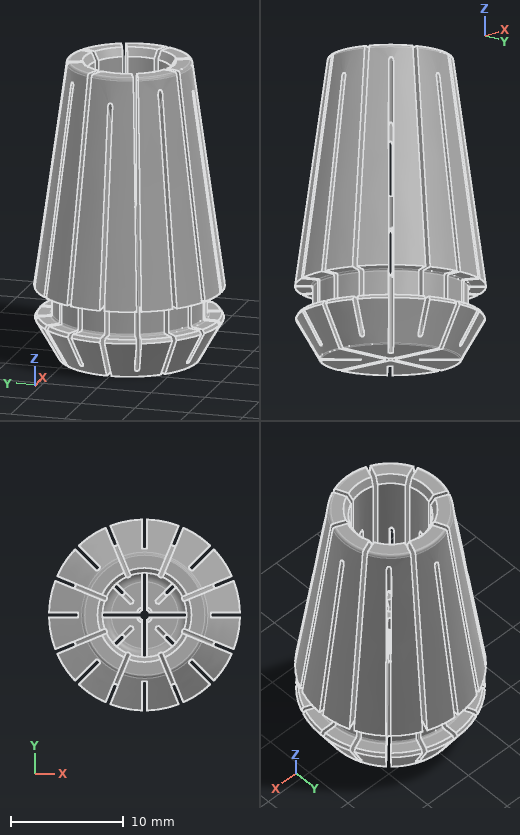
import cadquery as cq
import math

length = 27.5
taper_radius = 8.5
taper_angle = 8.0
taper_bottom = 6.68
top_fillet = 0.28
groove_radius = 6.93
groove_fillet = 0.16
flange_top = 4.05
flange_top_radius = 8.2
flange_radius = 8.42
flange_edge_height = 3.7
nose_angle = 30.0
nose_edge_fillet = 0.15

bore_radius = 3.75
bore_mouth_radius = 4.18
bore_floor = 14.58
bore_fillet = 0.77
hole_radius = 0.5
hole_mouth_radius = 0.72
bore_mouth_angle = 30.0
hole_mouth_angle = 15.0

slot_width = 0.45
straight_slot_count = 4
diagonal_slot_count = 4
upper_slot_count = 8
diagonal_slot_first_angle = 180 / straight_slot_count
upper_slot_first_angle = 180 / upper_slot_count

straight_slot_top = (15.0, 60.0)
diagonal_slot_top = (10.5, 70.0)
diagonal_slot_bottom = (9.35, -74.5)
upper_slot_bottom = (31.98, -78.0)


def tan_deg(angle):
    return math.tan(math.radians(angle))


def make_body():
    """Solid of revolution with its edges rounded."""
    top_radius = taper_radius - (length - taper_bottom) * tan_deg(taper_angle)
    nose_radius = flange_radius - flange_edge_height * tan_deg(nose_angle)
    outline = [
        (0, 0),
        (nose_radius, 0),
        (flange_radius, flange_edge_height),
        (flange_top_radius, flange_top),
        (groove_radius, flange_top),
        (groove_radius, taper_bottom),
        (taper_radius, taper_bottom),
        (top_radius, length),
        (0, length),
    ]
    body = cq.Workplane("XZ").polyline(outline).close().revolve(360, (0, 0), (0, 1))
    groove_rank = 2
    body = body.edges(cq.selectors.RadiusNthSelector(groove_rank)).fillet(groove_fillet)
    body = body.faces(">Z").edges().fillet(top_fillet)
    return body.faces("<Z").edges().fillet(nose_edge_fillet)


def make_bore():
    """Bore and hole with countersunk mouths and a rounded floor corner."""
    bore_mouth_depth = (bore_mouth_radius - bore_radius) / tan_deg(bore_mouth_angle)
    hole_mouth_depth = (hole_mouth_radius - hole_radius) / tan_deg(hole_mouth_angle)
    profile = (
        cq.Workplane("XZ")
        .lineTo(hole_radius, 0)
        .lineTo(hole_radius, bore_floor - hole_mouth_depth)
        .lineTo(hole_mouth_radius, bore_floor)
        .lineTo(bore_radius - bore_fillet, bore_floor)
        .radiusArc((bore_radius, bore_floor + bore_fillet), -bore_fillet)
        .lineTo(bore_radius, length - bore_mouth_depth)
        .lineTo(bore_mouth_radius, length)
        .lineTo(0, length)
        .close()
    )
    return profile.revolve(360, (0, 0), (0, 1))


def make_kerf(axis_height, slope, side):
    """Radial saw kerf toward +X whose round end follows a sloping line.

    The kerf lies above the line for side = 1 and below it for side = -1.
    """
    angle = math.radians(slope)
    along = cq.Vector(math.cos(angle), 0, math.sin(angle))
    depth_direction = cq.Vector(-math.sin(angle), 0, math.cos(angle)) * side
    overshoot = 3 * length
    section = cq.Plane(origin=(0, 0, axis_height), xDir=depth_direction, normal=along)
    half_width = slot_width / 2
    kerf = (
        cq.Workplane(section)
        .moveTo(half_width, -half_width)
        .threePointArc((0, 0), (half_width, half_width))
        .lineTo(overshoot, half_width)
        .lineTo(overshoot, -half_width)
        .close()
        .extrude(overshoot, both=True)
    )
    outer_half = cq.Workplane("XY").box(
        length, length, overshoot, centered=(False, True, True)
    )
    return kerf.intersect(outer_half)


def cut_slots(body, slot, count, first_angle):
    """Cut equally spaced copies of a slot around the axis."""
    for i in range(count):
        body = body.cut(slot.rotate((0, 0, 0), (0, 0, 1), first_angle + i * 360 / count))
    return body


straight_slot = make_kerf(*straight_slot_top, side=-1)
diagonal_slot = make_kerf(*diagonal_slot_top, side=-1).intersect(
    make_kerf(*diagonal_slot_bottom, side=1)
)
upper_slot = make_kerf(*upper_slot_bottom, side=1)

result = make_body().cut(make_bore())
result = cut_slots(result, straight_slot, straight_slot_count, 0)
result = cut_slots(result, diagonal_slot, diagonal_slot_count, diagonal_slot_first_angle)
result = cut_slots(result, upper_slot, upper_slot_count, upper_slot_first_angle)